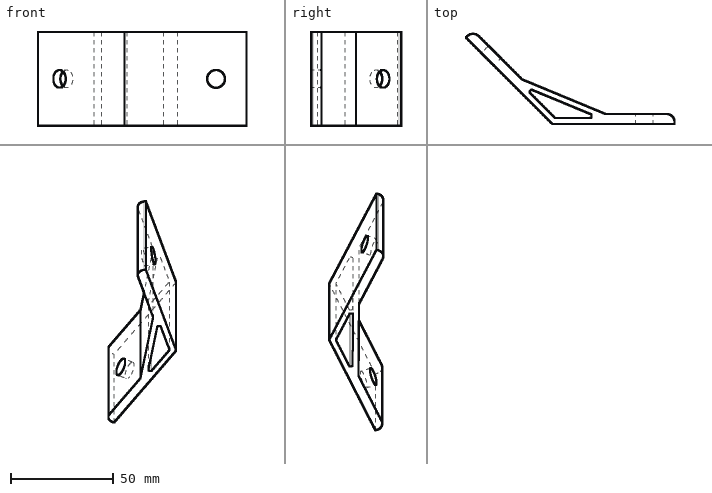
import cadquery as cq
import math

overall_length = 102.4
height = 46.0
bend_angle = 45.0
leg_thickness = 5.0
tip_radius = 4.1
brace_reach = 26.0
brace_wall = 3.0
pocket_leg_wall = 3.1
pocket_reach = 19.2
pocket_radius = 0.5
hole_diameter = 8.6
hole_reach = 45.0

tilt = math.radians(bend_angle)
leg_length = overall_length / (1 + math.cos(tilt))
brace_slope = math.tan(tilt / 2)


def level(along, depth):
    """Point on the level leg, measured from the outer bend corner."""
    return (along, depth)


def tilted(along, depth):
    """Matching point on the tilted leg."""
    return (
        -along * math.cos(tilt) + depth * math.sin(tilt),
        along * math.sin(tilt) + depth * math.cos(tilt),
    )


def bend_point(depth):
    """Point on the bisector at the given depth inside both outer faces."""
    return (depth * brace_slope, depth)


def make_body():
    outline = [
        bend_point(0),
        level(leg_length, 0),
        level(leg_length, leg_thickness),
        level(brace_reach, leg_thickness),
        tilted(brace_reach, leg_thickness),
        tilted(leg_length, leg_thickness),
        tilted(leg_length, 0),
    ]
    body = cq.Workplane("XY").polyline(outline).close().extrude(height)
    for place in (level, tilted):
        x, y = place(leg_length, leg_thickness)
        tip_edge = cq.selectors.NearestToPointSelector((x, y, height / 2))
        body = body.edges("|Z").edges(tip_edge).fillet(tip_radius)
    return body


def make_brace_opening():
    brace_outer_depth = leg_thickness + (brace_reach - pocket_reach) * brace_slope
    end_depth = brace_outer_depth - brace_wall / math.cos(tilt / 2)
    outline = [
        bend_point(pocket_leg_wall),
        level(pocket_reach, pocket_leg_wall),
        level(pocket_reach, end_depth),
        tilted(pocket_reach, end_depth),
        tilted(pocket_reach, pocket_leg_wall),
    ]
    opening = cq.Workplane("XY").polyline(outline).close().extrude(height)
    bend_x, bend_y = bend_point(pocket_leg_wall)
    bend_edge = cq.selectors.NearestToPointSelector((bend_x, bend_y, height / 2))
    upright_edges = cq.selectors.ParallelDirSelector(cq.Vector(0, 0, 1))
    rounded_edges = cq.selectors.SubtractSelector(upright_edges, bend_edge)
    return opening.edges(rounded_edges).fillet(pocket_radius)


def make_bolt_hole(place):
    """Cylinder through one leg, square to its faces."""
    start = cq.Vector(*place(hole_reach, 0), height / 2)
    end = cq.Vector(*place(hole_reach, leg_thickness), height / 2)
    return cq.Solid.makeCylinder(hole_diameter / 2, leg_thickness, start, end - start)


result = make_body().cut(make_brace_opening())
for leg in (level, tilted):
    result = result.cut(make_bolt_hole(leg))

result = result.translate((leg_length * math.cos(tilt) - overall_length / 2, 0, 0))